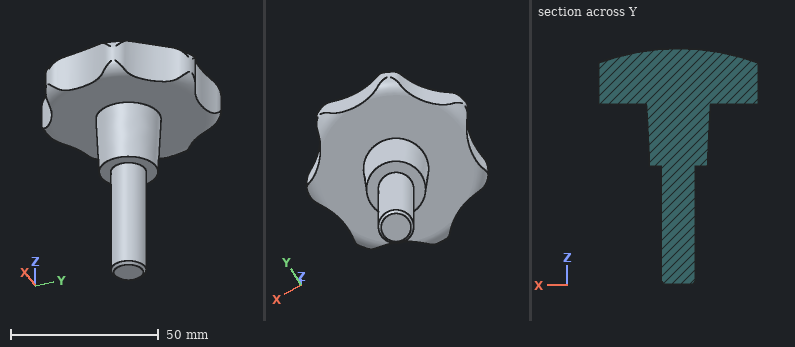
import cadquery as cq
import math

total_height = 80.0
hub_bottom = 40.0
head_bottom = 61.0

stud_radius = 6.0
stud_chamfer = 1.0

hub_bottom_radius = 10.0
hub_top_radius = 11.0

lobe_count = 7
tip_radius = 31.5
lobe_radius = 4.6
scallop_radius = 21.6
rim_round = 5.0
tip_clearance = 0.02
dome_radius = 78.0

first_lobe_angle = -math.pi / 2
lobe_pitch = 2 * math.pi / lobe_count


def polar(radius, angle):
    return (radius * math.cos(angle), radius * math.sin(angle))


def between(start, end, distance):
    """Point at a given distance from start, heading toward end."""
    fraction = distance / math.dist(start, end)
    return tuple(a + fraction * (b - a) for a, b in zip(start, end))


def make_head_blank():
    """Domed disc with rounded rim, revolved about Z."""
    disc_radius = tip_radius + tip_clearance
    round_center = disc_radius - rim_round
    bottom_round_z = head_bottom + rim_round
    dome_center_z = total_height - dome_radius
    dome_angle = math.asin(round_center / (dome_radius - rim_round))
    top_round_z = dome_center_z + (dome_radius - rim_round) * math.cos(dome_angle)
    dome_edge = (
        dome_radius * math.sin(dome_angle),
        dome_center_z + dome_radius * math.cos(dome_angle),
    )
    dome_middle = (
        dome_radius * math.sin(dome_angle / 2),
        dome_center_z + dome_radius * math.cos(dome_angle / 2),
    )
    diagonal = rim_round * math.sqrt(0.5)
    bottom_round_middle = (round_center + diagonal, bottom_round_z - diagonal)
    half_angle = (math.pi / 2 - dome_angle) / 2
    top_round_middle = (
        round_center + rim_round * math.cos(half_angle),
        top_round_z + rim_round * math.sin(half_angle),
    )
    return (
        cq.Workplane("XZ")
        .moveTo(0, head_bottom)
        .lineTo(round_center, head_bottom)
        .threePointArc(bottom_round_middle, (disc_radius, bottom_round_z))
        .lineTo(disc_radius, top_round_z)
        .threePointArc(top_round_middle, dome_edge)
        .threePointArc(dome_middle, (0, total_height))
        .close()
        .revolve(360, (0, 0), (0, 1))
    )


def make_star():
    """Prism of convex lobe arcs joined tangentially to concave scallop arcs."""
    lobe_offset = tip_radius - lobe_radius
    half_pitch = lobe_pitch / 2
    scallop_offset = lobe_offset * math.cos(half_pitch) + math.sqrt(
        (scallop_radius + lobe_radius) ** 2 - (lobe_offset * math.sin(half_pitch)) ** 2
    )
    valley_radius = scallop_offset - scallop_radius

    def lobe_ends(angle):
        lobe_center = polar(lobe_offset, angle)
        return [
            between(lobe_center, polar(scallop_offset, angle + side * half_pitch), lobe_radius)
            for side in (-1, 1)
        ]

    outline = cq.Workplane("XY").workplane(offset=head_bottom)
    outline = outline.moveTo(*lobe_ends(first_lobe_angle)[0])
    for index in range(lobe_count):
        angle = first_lobe_angle + index * lobe_pitch
        lobe_end = lobe_ends(angle)[1]
        next_start = lobe_ends(angle + lobe_pitch)[0]
        outline = outline.threePointArc(polar(tip_radius, angle), lobe_end)
        outline = outline.threePointArc(polar(valley_radius, angle + half_pitch), next_start)
    return outline.close().extrude(total_height - head_bottom)


def make_stem():
    """Chamfered stud and tapered hub, revolved about Z."""
    return (
        cq.Workplane("XZ")
        .polyline([
            (0, 0),
            (stud_radius - stud_chamfer, 0),
            (stud_radius, stud_chamfer),
            (stud_radius, hub_bottom),
            (hub_bottom_radius, hub_bottom),
            (hub_top_radius, head_bottom),
            (0, head_bottom),
        ])
        .close()
        .revolve(360, (0, 0), (0, 1))
    )


head = make_head_blank().intersect(make_star())
result = head.union(make_stem())